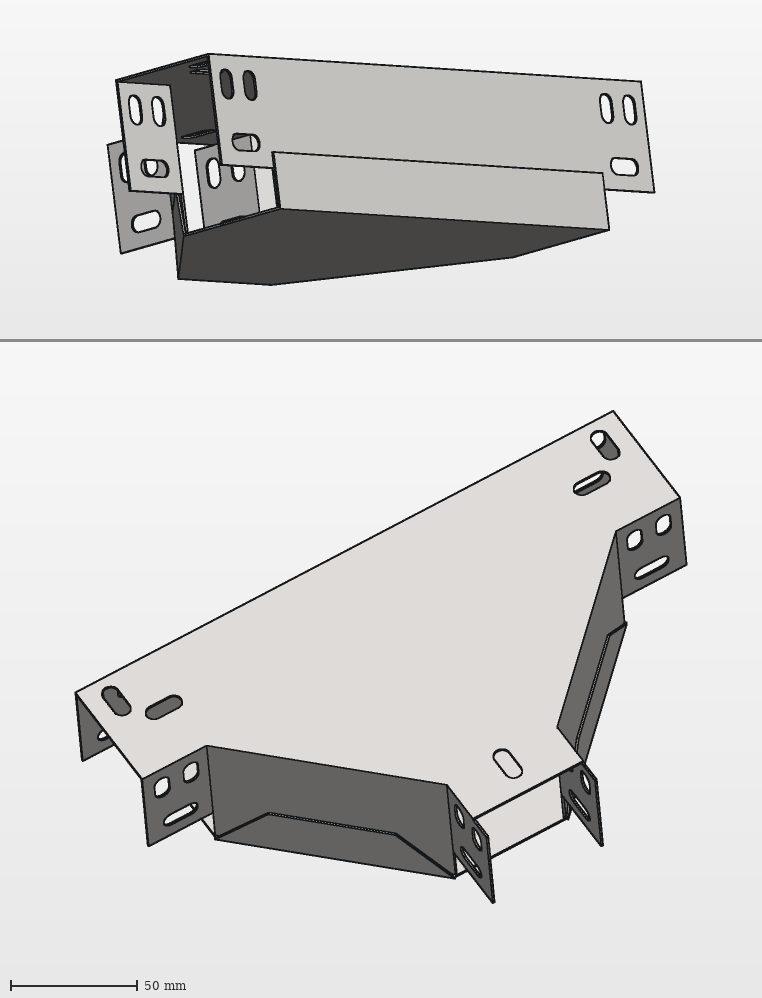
import cadquery as cq
import math


SHEET = 0.9

RUN_LENGTH = 250.0
CHANNEL_WIDTH = 51.3
RUN_NECK = 30.0
BRANCH_END = 151.0
BRANCH_WEB_END = 140.8

TOTAL_DEPTH = 61.8
WALL_DEPTH = 60.0
TAB_DEPTH = 45.0
LID_RIM_HEIGHT = 23.0

SLOT_LENGTH = 15.8
SLOT_WIDTH = 6.8
SHORT_SLOT_LENGTH = 12.0
WEB_CROSS_SLOT = (11.5, 12.6)
WEB_RUN_SLOT = (25.5, 25.8)
WEB_BRANCH_SLOT_Y = 125.3
TAB_SHORT_SLOT_INSETS = (8.5, 22.0)
TAB_SHORT_SLOT_DEPTH = 12.0
TAB_LONG_SLOT_INSET = 15.5
TAB_LONG_SLOT_DEPTH = 35.3

ROLL = -28.7
PITCH = 19.3
YAW = 61.2

MIDDLE = RUN_LENGTH / 2
BRANCH_LEFT = MIDDLE - CHANNEL_WIDTH / 2
SPLAY = BRANCH_LEFT - RUN_NECK
BRANCH_ROOT = CHANNEL_WIDTH + SPLAY
MITRE = SHEET * math.tan(math.radians(22.5))
RIM_SHIFT = SHEET / math.sqrt(2)


def mirrored(points):
    """Complete an outline given by its left half, by reflection in the middle of the run."""
    return points + [(RUN_LENGTH - x, y) for x, y in reversed(points)]


def sheet_solid(points, top, bottom):
    """Prism over a plan outline between two depths."""
    return cq.Workplane("XY").workplane(offset=-top).polyline(points).close().extrude(top - bottom)


def mirror_right(body):
    """Copy of a left-hand feature on the right half of the tee."""
    return body.mirror("YZ", (MIDDLE, 0, 0))


def slot_cutter(plane, centre, length, angle):
    """Round-ended cutter through one sheet, centred on its outer or inner face."""
    return (
        cq.Workplane(plane, origin=centre)
        .slot2D(length, SLOT_WIDTH, angle)
        .extrude(2 * SHEET, both=True)
    )


def web_plate():
    left_half = [
        (0, 0),
        (0, CHANNEL_WIDTH),
        (RUN_NECK, CHANNEL_WIDTH),
        (BRANCH_LEFT, BRANCH_ROOT),
        (BRANCH_LEFT, BRANCH_WEB_END),
    ]
    return sheet_solid(mirrored(left_half), 0, SHEET)


def back_wall():
    tabs = cq.Workplane("XY").box(RUN_LENGTH, SHEET, TAB_DEPTH, centered=False)
    middle = cq.Workplane("XY").box(RUN_LENGTH - 2 * RUN_NECK, SHEET, WALL_DEPTH, centered=False)
    return tabs.translate((0, 0, -TAB_DEPTH)).union(middle.translate((RUN_NECK, 0, -WALL_DEPTH)))


def left_wall():
    """Run tab, splayed wall and branch tab, bent from one strip."""
    run_corner = (RUN_NECK, CHANNEL_WIDTH)
    branch_corner = (BRANCH_LEFT, BRANCH_ROOT)
    run_corner_inside = (RUN_NECK + MITRE, CHANNEL_WIDTH - SHEET)
    branch_corner_inside = (BRANCH_LEFT + SHEET, BRANCH_ROOT - MITRE)
    strip = [
        (0, CHANNEL_WIDTH),
        run_corner,
        branch_corner,
        (BRANCH_LEFT, BRANCH_END),
        (BRANCH_LEFT + SHEET, BRANCH_END),
        branch_corner_inside,
        run_corner_inside,
        (0, CHANNEL_WIDTH - SHEET),
    ]
    splayed = [run_corner, branch_corner, branch_corner_inside, run_corner_inside]
    return sheet_solid(strip, SHEET, TAB_DEPTH).union(sheet_solid(splayed, SHEET, WALL_DEPTH))


def web_slots():
    cross_inset, cross_y = WEB_CROSS_SLOT
    run_inset, run_y = WEB_RUN_SLOT
    cross_slot = slot_cutter("XY", (cross_inset, cross_y, 0), SLOT_LENGTH, 90)
    run_slot = slot_cutter("XY", (run_inset, run_y, 0), SLOT_LENGTH, 0)
    branch_slot = slot_cutter("XY", (MIDDLE, WEB_BRANCH_SLOT_Y, 0), SLOT_LENGTH, 90)
    left_slots = cross_slot.union(run_slot)
    return left_slots.union(mirror_right(left_slots)).union(branch_slot)


def tab_slots(plane, tab_end, inward):
    """Two short upright slots above a long level one; inward points from the tab's end along it."""
    def cutter(inset, depth, length, angle):
        centre = cq.Vector(*tab_end) + cq.Vector(*inward) * inset - cq.Vector(0, 0, depth)
        return slot_cutter(plane, centre.toTuple(), length, angle)

    slots = cutter(TAB_LONG_SLOT_INSET, TAB_LONG_SLOT_DEPTH, SLOT_LENGTH, 0)
    for inset in TAB_SHORT_SLOT_INSETS:
        slots = slots.union(cutter(inset, TAB_SHORT_SLOT_DEPTH, SHORT_SLOT_LENGTH, 90))
    return slots


def channel_body():
    wall = left_wall()
    body = web_plate().union(back_wall()).union(wall).union(mirror_right(wall)).cut(web_slots())
    left_tabs = [
        ("XZ", (0, 0, 0), (1, 0, 0)),
        ("XZ", (0, CHANNEL_WIDTH, 0), (1, 0, 0)),
        ("YZ", (BRANCH_LEFT, BRANCH_END, 0), (0, -1, 0)),
    ]
    for plane, tab_end, inward in left_tabs:
        slots = tab_slots(plane, tab_end, inward)
        body = body.cut(slots).cut(mirror_right(slots))
    return body


def lid_plate():
    left_half = [
        (RUN_NECK, -SHEET),
        (RUN_NECK, CHANNEL_WIDTH),
        (RUN_NECK - RIM_SHIFT, CHANNEL_WIDTH + RIM_SHIFT),
        (BRANCH_LEFT - RIM_SHIFT, BRANCH_ROOT + RIM_SHIFT),
        (BRANCH_LEFT, BRANCH_ROOT),
    ]
    return sheet_solid(mirrored(left_half), TOTAL_DEPTH - SHEET, TOTAL_DEPTH)


def lid_back_rim():
    rim = cq.Workplane("XY").box(RUN_LENGTH - 2 * RUN_NECK, SHEET, LID_RIM_HEIGHT, centered=False)
    return rim.translate((RUN_NECK, -SHEET, -TOTAL_DEPTH))


def lid_left_rim():
    """Rim outside the splayed wall, its ends cut back at 45 degrees."""
    length = SPLAY * math.sqrt(2)
    outline = [
        (0, 0),
        (LID_RIM_HEIGHT, LID_RIM_HEIGHT),
        (length - LID_RIM_HEIGHT, LID_RIM_HEIGHT),
        (length, 0),
    ]
    wall_face = cq.Plane(
        origin=(RUN_NECK, CHANNEL_WIDTH, -TOTAL_DEPTH),
        xDir=(1, 1, 0),
        normal=(1, -1, 0),
    )
    return cq.Workplane(wall_face).polyline(outline).close().extrude(-SHEET)


def lid_body():
    rim = lid_left_rim()
    return lid_plate().union(lid_back_rim()).union(rim).union(mirror_right(rim))


def tilted(body):
    origin = (0, 0, 0)
    return (
        body.rotate(origin, (1, 0, 0), ROLL)
        .rotate(origin, (0, 1, 0), PITCH)
        .rotate(origin, (0, 0, 1), YAW)
    )


channel = tilted(channel_body())
lid = tilted(lid_body())

result = cq.Compound.makeCompound([channel.val(), lid.val()])